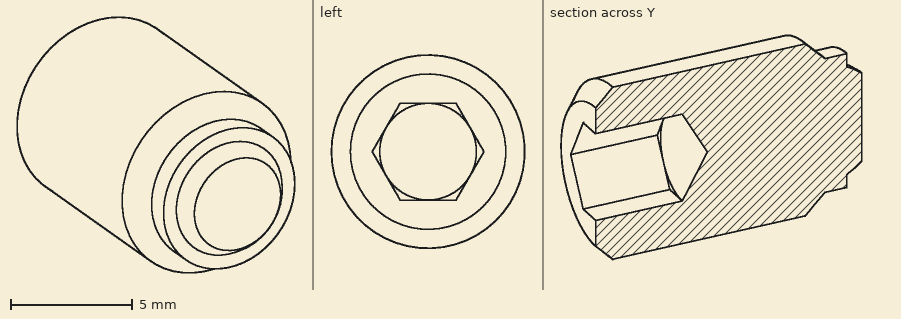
import cadquery as cq
import math

length = 12.3
body_diameter = 8.0
body_radius = body_diameter / 2
chamfer = 0.79

body_end = 9.68
nose_start = 10.59
nose_end = 11.6
nose_radius = 3.11

ball_radius = 2.75
flat_radius = 2.04

socket_flats = body_diameter / 2
socket_depth = 4.0
drill_point_angle = 120.0


def make_body():
    """Revolve the chamfered body, stepped nose and flattened ball tip."""
    ball_center_x = length - math.sqrt(ball_radius**2 - flat_radius**2)

    def ball_point(x):
        return x, math.sqrt(ball_radius**2 - (x - ball_center_x) ** 2)

    profile = (
        cq.Workplane("XY")
        .lineTo(0, body_radius - chamfer)
        .lineTo(chamfer, body_radius)
        .lineTo(body_end, body_radius)
        .lineTo(nose_start, nose_radius)
        .lineTo(nose_end, nose_radius)
        .lineTo(*ball_point(nose_end))
        .threePointArc(ball_point((nose_end + length) / 2), (length, flat_radius))
        .lineTo(length, 0)
        .close()
    )
    return profile.revolve(360, (0, 0, 0), (1, 0, 0))


def make_socket():
    """Hexagon with corners along Y and a conical drill point at its bottom."""
    across_corners = socket_flats / math.cos(math.radians(30))
    hexagon = cq.Workplane("YZ").polygon(6, across_corners).extrude(socket_depth)
    drill_radius = socket_flats / 2
    point_depth = drill_radius / math.tan(math.radians(drill_point_angle / 2))
    point = cq.Solid.makeCone(
        drill_radius, 0, point_depth, cq.Vector(socket_depth, 0, 0), cq.Vector(1, 0, 0)
    )
    return hexagon.union(cq.Workplane(point))


result = make_body().cut(make_socket())